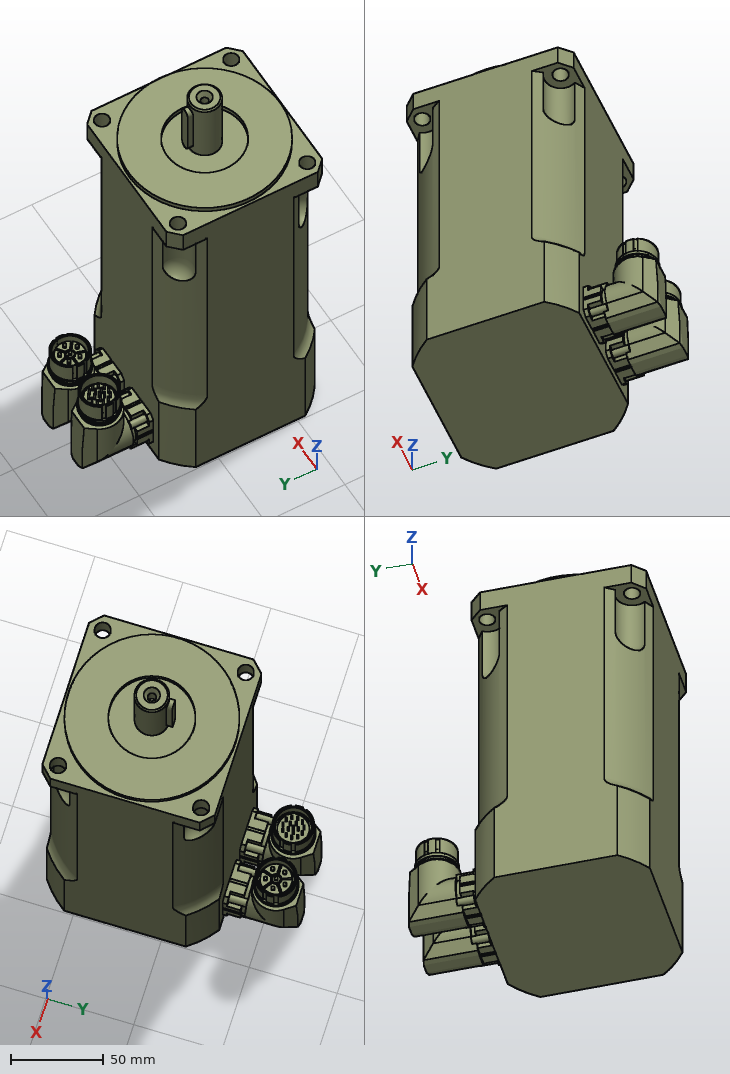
import cadquery as cq
import math

HOUSING_WIDTH = 98.0
FLANGE_BOTTOM = 201.0
FLANGE_TOP = 214.0
FLANGE_CHAMFER = 6.5
PILOT_DIAMETER = 95.0
PILOT_HEIGHT = 3.0
RECESS_DIAMETER = 47.2
FRONT_CORNER_DIAMETER = 112.0
REAR_CORNER_DIAMETER = 120.0
REAR_TOP = 51.8
CORNER_BLEND_RADIUS = 9.5
HOLE_PITCH = 81.3
HOLE_DIAMETER = 9.0
POCKET_DIAMETER = 19.0
POCKET_BOTTOM = 170.2

SHAFT_DIAMETER = 19.0
SHAFT_TOP = 254.0
SHAFT_CHAMFER = 1.0
CENTRE_HOLE_DIAMETER = 4.5
CENTRE_HOLE_DEPTH = 12.7
COUNTERSINK_DIAMETER = 9.0
COUNTERSINK_DEPTH = 3.3
KEY_WIDTH = 6.0
KEY_LENGTH = 32.8
KEY_TOP = 250.2
KEY_REACH = 12.5

CONNECTOR_SPACING = 31.2
LEG_DIAMETER = 26.5
OUTLET_HEIGHT = 19.0
SOCKET_OFFSET = 26.5
ELBOW_TOP = 41.1
LEG_END = 12.7
RIDGE_REACH = 15.0
RIDGE_ROOT = 7.5
RIDGE_ROOT_WIDTH = 21.5
RIDGE_SHOULDER = 14.2
RIDGE_SHOULDER_WIDTH = 12.2
RIDGE_CREST_WIDTH = 6.0
FOOT_EXTENSION = 2.5
RIDGE_TAPER = 1.5

BASE_WIDTH = 26.0
BASE_HEIGHT = 25.5
BASE_THICKNESS = 2.5
BASE_CHAMFER = 3.0
BLOCK_ARM_WIDTH = 12.7
BLOCK_END = 10.2
BLOCK_GROOVE_WIDTH = 1.5
BLOCK_GROOVE_DEPTH = 0.5
THROAT_DIAMETER = 22.9
SCREW_DIAMETER = 4.5
SCREW_PITCH = 17.5

NECK_DIAMETER = 21.8
NECK_TOP = 43.5
STEP_DIAMETER = 23.4
STEP_TOP = 45.0
RING_DIAMETER = 24.5
RING_TOP = 47.2
NUT_DIAMETER = 22.9
NUT_TOP = 59.2
RIM_CHAMFER = 0.5
GRIP_GROOVE_WIDTH = 2.3
GRIP_GROOVE_DEPTH = 0.8
GRIP_GROOVE_ANGLE = 17.0
SOCKET_DIAMETER = 20.0
SOCKET_DEPTH = 7.5

INSERT_DIAMETER = 17.5
CONTACT_HEIGHT = 5.5
SIGNAL_INSERT_HEIGHT = 1.3
SIGNAL_PIN_DIAMETER = 1.0
SIGNAL_INNER_RADIUS = 2.8
SIGNAL_INNER_COUNT = 5
SIGNAL_OUTER_RADIUS = 5.8
SIGNAL_OUTER_COUNT = 11
POWER_INSERT_HEIGHT = 4.0
POWER_PIN_DIAMETER = 2.0
POWER_RING_RADIUS = 5.8
POWER_RING_COUNT = 5
POWER_CORE_DIAMETER = 4.5
POWER_CORE_GAP_DIAMETER = 5.8
POWER_SLOT_WIDTH = 1.0

HOUSING_FACE = HOUSING_WIDTH / 2
SOCKET_Y = HOUSING_FACE + SOCKET_OFFSET
SOCKET_FLOOR = NUT_TOP - SOCKET_DEPTH


def cylinder(diameter, bottom, top, x=0.0, y=0.0):
    """Upright cylinder between two heights."""
    return cq.Workplane("XY", origin=(x, y, bottom)).circle(diameter / 2).extrude(top - bottom)


def level_cylinder(diameter, start, end, x=0.0, z=0.0):
    """Cylinder along +Y between two distances from the housing face."""
    plane = cq.Plane(origin=(x, HOUSING_FACE + start, z), xDir=(1, 0, 0), normal=(0, 1, 0))
    return cq.Workplane(plane).circle(diameter / 2).extrude(end - start)


def level_box(width, height, start, end, x=0.0, z=0.0):
    """Box centred on x and z, between two distances from the housing face."""
    middle = HOUSING_FACE + (start + end) / 2
    return cq.Workplane("XY", origin=(x, middle, z)).box(width, end - start, height)


def ring_points(count, radius, first_angle):
    """Evenly spaced (x, y) points on a circle, starting at first_angle degrees."""
    angles = [math.radians(first_angle + 360 * i / count) for i in range(count)]
    return [(radius * math.cos(a), radius * math.sin(a)) for a in angles]


def corner_rounding():
    """Turned solid whose outside rounds the four corners of the motor body."""
    front = FRONT_CORNER_DIAMETER / 2
    rear = REAR_CORNER_DIAMETER / 2
    radius = CORNER_BLEND_RADIUS
    step = rear - front
    blend_top = REAR_TOP + math.sqrt(radius**2 - (radius - step) ** 2)
    half_sweep = math.acos((radius - step) / radius) / 2
    blend_middle = (
        front + radius * (1 - math.cos(half_sweep)),
        blend_top - radius * math.sin(half_sweep),
    )
    return (
        cq.Workplane("XZ")
        .lineTo(rear, 0)
        .lineTo(rear, REAR_TOP)
        .threePointArc(blend_middle, (front, blend_top))
        .lineTo(front, FLANGE_BOTTOM)
        .lineTo(0, FLANGE_BOTTOM)
        .close()
        .revolve(360, (0, 0, 0), (0, 1, 0))
    )


def mounting_cutters():
    """Through hole in the flange and round-ended pocket below it, at each corner."""
    cutters = cq.Workplane("XY")
    for x in (-HOLE_PITCH / 2, HOLE_PITCH / 2):
        for y in (-HOLE_PITCH / 2, HOLE_PITCH / 2):
            hole = cylinder(HOLE_DIAMETER, FLANGE_BOTTOM, FLANGE_TOP, x, y)
            pocket = cylinder(POCKET_DIAMETER, POCKET_BOTTOM, FLANGE_BOTTOM, x, y)
            round_end = cq.Workplane("XY", origin=(x, y, POCKET_BOTTOM)).sphere(POCKET_DIAMETER / 2)
            cutters = cutters.add(hole).add(pocket).add(round_end)
    return cutters.vals()


def make_housing():
    body = cq.Workplane("XY").rect(HOUSING_WIDTH, HOUSING_WIDTH).extrude(FLANGE_BOTTOM)
    body = body.intersect(corner_rounding())
    flange = (
        cq.Workplane("XY", origin=(0, 0, FLANGE_BOTTOM))
        .rect(HOUSING_WIDTH, HOUSING_WIDTH)
        .extrude(FLANGE_TOP - FLANGE_BOTTOM)
        .edges("|Z")
        .chamfer(FLANGE_CHAMFER)
    )
    pilot_top = FLANGE_TOP + PILOT_HEIGHT
    pilot = cylinder(PILOT_DIAMETER, FLANGE_TOP, pilot_top)
    pilot = pilot.cut(cylinder(RECESS_DIAMETER, FLANGE_TOP, pilot_top))
    housing = body.union(flange).union(pilot)
    for cutter in mounting_cutters():
        housing = housing.cut(cq.Workplane(cutter))
    return housing


def make_shaft():
    shaft = cylinder(SHAFT_DIAMETER, FLANGE_TOP, SHAFT_TOP).faces(">Z").chamfer(SHAFT_CHAMFER)
    key = (
        cq.Workplane("XZ", origin=(0, 0, KEY_TOP - KEY_LENGTH / 2))
        .slot2D(KEY_LENGTH, KEY_WIDTH, 90)
        .extrude(-KEY_REACH)
    )
    centre_hole = (
        cq.Workplane("XZ", origin=(0, 0, SHAFT_TOP))
        .lineTo(COUNTERSINK_DIAMETER / 2, 0)
        .lineTo(CENTRE_HOLE_DIAMETER / 2, -COUNTERSINK_DEPTH)
        .lineTo(CENTRE_HOLE_DIAMETER / 2, -CENTRE_HOLE_DEPTH)
        .lineTo(0, -CENTRE_HOLE_DEPTH)
        .close()
        .revolve(360, (0, 0, 0), (0, 1, 0))
    )
    return shaft.union(key).cut(centre_hole)


def elbow_leg(plane, length, ridge_length):
    """Round leg with a faceted ridge on the plane's +y side."""
    ridge_half_outline = [
        (RIDGE_ROOT_WIDTH / 2, RIDGE_ROOT),
        (RIDGE_SHOULDER_WIDTH / 2, RIDGE_SHOULDER),
        (RIDGE_CREST_WIDTH / 2, RIDGE_REACH),
    ]
    mirrored = [(-x, y) for x, y in reversed(ridge_half_outline)]
    ridge = cq.Workplane(plane).polyline(ridge_half_outline + mirrored).close().extrude(ridge_length)
    return cq.Workplane(plane).circle(LEG_DIAMETER / 2).extrude(length).union(ridge)


def make_elbow():
    """Upright and level legs, mitred where their axes cross."""
    bottom = OUTLET_HEIGHT - RIDGE_REACH
    back = SOCKET_Y + RIDGE_REACH
    foot_end = HOUSING_FACE + LEG_END - FOOT_EXTENSION
    rise = ELBOW_TOP - bottom
    run = back - foot_end
    upright_plane = cq.Plane(origin=(0, SOCKET_Y, bottom), xDir=(1, 0, 0), normal=(0, 0, 1))
    level_plane = cq.Plane(origin=(0, back, OUTLET_HEIGHT), xDir=(-1, 0, 0), normal=(0, -1, 0))
    upright = elbow_leg(upright_plane, rise, rise)
    level = elbow_leg(level_plane, run - FOOT_EXTENSION, run)

    above_mitre = (
        cq.Workplane("YZ")
        .polyline([
            (back, bottom),
            (back - RIDGE_TAPER, ELBOW_TOP),
            (back - rise, ELBOW_TOP),
        ])
        .close()
        .extrude(LEG_DIAMETER, both=True)
    )
    below_mitre = (
        cq.Workplane("YZ")
        .polyline([(back, bottom), (foot_end, bottom), (foot_end, bottom + run)])
        .close()
        .extrude(LEG_DIAMETER, both=True)
    )
    return upright.intersect(above_mitre).union(level.intersect(below_mitre))


def make_mount():
    """Base plate, cross-shaped block, screws and throat between housing and elbow."""
    mount = level_box(BASE_WIDTH, BASE_HEIGHT, 0, BASE_THICKNESS, z=OUTLET_HEIGHT)
    mount = mount.edges("|Y").chamfer(BASE_CHAMFER)
    for width, height in ((BASE_WIDTH, BLOCK_ARM_WIDTH), (BLOCK_ARM_WIDTH, BASE_HEIGHT)):
        mount = mount.union(level_box(width, height, BASE_THICKNESS, BLOCK_END, z=OUTLET_HEIGHT))
    mount = mount.union(level_cylinder(THROAT_DIAMETER, BLOCK_END, LEG_END, z=OUTLET_HEIGHT))
    for x in (-SCREW_PITCH / 2, SCREW_PITCH / 2):
        for z in (-SCREW_PITCH / 2, SCREW_PITCH / 2):
            screw = level_cylinder(SCREW_DIAMETER, BASE_THICKNESS, LEG_END, x, OUTLET_HEIGHT + z)
            mount = mount.union(screw)

    groove_span = 2 * BLOCK_GROOVE_DEPTH
    for side in (-1, 1):
        flank = side * BASE_WIDTH / 2
        flank_groove = level_box(groove_span, BLOCK_GROOVE_WIDTH, 0, BLOCK_END, flank, OUTLET_HEIGHT)
        face = OUTLET_HEIGHT + side * BASE_HEIGHT / 2
        face_groove = level_box(BLOCK_GROOVE_WIDTH, groove_span, 0, BLOCK_END, 0, face)
        mount = mount.cut(flank_groove).cut(face_groove)
    return mount


def make_nut():
    """Stepped neck and grooved union nut with an open socket on top."""
    nut = cylinder(NECK_DIAMETER, ELBOW_TOP, NECK_TOP)
    nut = nut.union(cylinder(STEP_DIAMETER, NECK_TOP, STEP_TOP))
    nut = nut.union(cylinder(RING_DIAMETER, STEP_TOP, RING_TOP))
    nut = nut.union(cylinder(NUT_DIAMETER, RING_TOP, NUT_TOP))
    nut = nut.cut(cylinder(SOCKET_DIAMETER, SOCKET_FLOOR, NUT_TOP))
    nut = nut.faces(">Z").edges().chamfer(RIM_CHAMFER)
    groove_length = NUT_TOP - RING_TOP
    for middle_angle in (0, 180):
        for angle in (middle_angle - GRIP_GROOVE_ANGLE, middle_angle + GRIP_GROOVE_ANGLE):
            groove = (
                cq.Workplane("XY", origin=(NUT_DIAMETER / 2, 0, RING_TOP + groove_length / 2))
                .box(2 * GRIP_GROOVE_DEPTH, GRIP_GROOVE_WIDTH, groove_length)
                .rotate((0, 0, 0), (0, 0, 1), angle)
            )
            nut = nut.cut(groove)
    return nut


def add_pins(insert, points, diameter):
    """Contact pins standing on the socket floor, joined to the insert."""
    for x, y in points:
        insert = insert.union(cylinder(diameter, SOCKET_FLOOR, SOCKET_FLOOR + CONTACT_HEIGHT, x, y))
    return insert


def signal_insert():
    """Low disc with thin pins: one in the middle, five around it and eleven outside."""
    disc = cylinder(INSERT_DIAMETER, SOCKET_FLOOR, SOCKET_FLOOR + SIGNAL_INSERT_HEIGHT)
    points = [(0, 0)]
    points += ring_points(SIGNAL_INNER_COUNT, SIGNAL_INNER_RADIUS, 90)
    points += ring_points(SIGNAL_OUTER_COUNT, SIGNAL_OUTER_RADIUS, -90)
    return add_pins(disc, points, SIGNAL_PIN_DIAMETER)


def power_insert():
    """Tall disc parted into islands, each with a thick pin: one in the middle and five around it."""
    top = SOCKET_FLOOR + POWER_INSERT_HEIGHT
    middle = (SOCKET_FLOOR + top) / 2
    islands = cylinder(INSERT_DIAMETER, SOCKET_FLOOR, top)
    slot_length = INSERT_DIAMETER / 2
    for i in range(POWER_RING_COUNT):
        slot = (
            cq.Workplane("XY", origin=(slot_length / 2, 0, middle))
            .box(slot_length, POWER_SLOT_WIDTH, POWER_INSERT_HEIGHT)
            .rotate((0, 0, 0), (0, 0, 1), (i + 0.5) * 360 / POWER_RING_COUNT)
        )
        islands = islands.cut(slot)
    islands = islands.cut(cylinder(POWER_CORE_GAP_DIAMETER, SOCKET_FLOOR, top))
    islands = islands.union(cylinder(POWER_CORE_DIAMETER, SOCKET_FLOOR, top))
    points = [(0, 0)] + ring_points(POWER_RING_COUNT, POWER_RING_RADIUS, 0)
    return add_pins(islands, points, POWER_PIN_DIAMETER)


def make_connector(x, insert):
    head = make_nut().union(insert).translate((0, SOCKET_Y, 0))
    return make_elbow().union(make_mount()).union(head).translate((x, 0, 0))


housing = make_housing()
shaft = make_shaft()
connectors = [
    make_connector(x, insert)
    for x, insert in (
        (-CONNECTOR_SPACING / 2, signal_insert()),
        (CONNECTOR_SPACING / 2, power_insert()),
    )
]

result = cq.Compound.makeCompound(
    [housing.val(), shaft.val()] + [connector.val() for connector in connectors]
)